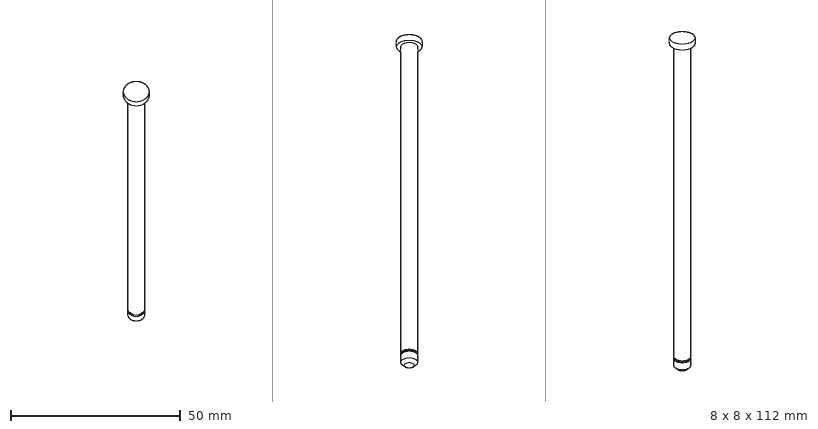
import cadquery as cq

total_length = 112.0
top_z = total_length / 2
bottom_z = -total_length / 2

head_diameter = 8.0
head_height = 2.0
rim_bulge = 0.2

shank_diameter = 5.0
groove_diameter = 4.0
groove_width = 0.7
groove_to_bottom = 3.4

tip_diameter = 3.0
tip_height = 1.0

head_radius = head_diameter / 2
shank_radius = shank_diameter / 2
head_bottom_z = top_z - head_height
groove_bottom_z = bottom_z + groove_to_bottom


def make_pin_body():
    """Revolve the half-profile of the head, shank and tapered tip."""
    rim_edge_radius = head_radius - rim_bulge
    profile = (
        cq.Workplane("XZ")
        .moveTo(0, bottom_z)
        .lineTo(tip_diameter / 2, bottom_z)
        .lineTo(shank_radius, bottom_z + tip_height)
        .lineTo(shank_radius, head_bottom_z)
        .lineTo(rim_edge_radius, head_bottom_z)
        .threePointArc((head_radius, top_z - head_height / 2), (rim_edge_radius, top_z))
        .lineTo(0, top_z)
        .close()
    )
    return profile.revolve(360, (0, 0, 0), (0, 1, 0))


def make_groove_ring():
    """Make the ring of material removed by the retaining groove."""
    return (
        cq.Workplane("XY")
        .workplane(offset=groove_bottom_z)
        .circle(head_radius)
        .circle(groove_diameter / 2)
        .extrude(groove_width)
    )


result = make_pin_body().cut(make_groove_ring())